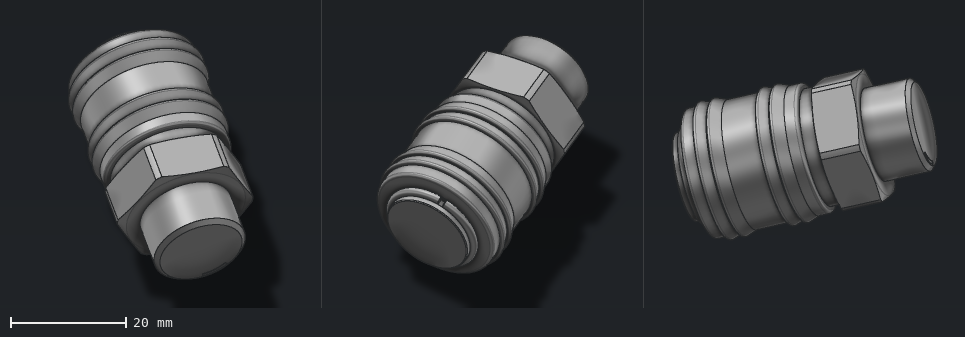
import cadquery as cq
import math

TOTAL_LENGTH = 43.6

FLANGE_DIAMETER = 15.95
FLANGE_CHAMFER = 0.17
GROOVE_START = 1.15
GROOVE_DIAMETER = 14.95
SHOULDER_DIAMETER = 16.1
NECK_DIAMETER = 21.0
HEX_START = 26.55
HEX_LENGTH = 8.02
HEX_ACROSS_FLATS = 22.05
HEX_CORNER_DIAMETER = 24.8
HEX_TURN = 22.7
HEX_CHAMFER_LENGTH = 0.4
HEX_CHAMFER_DEPTH = 1.55
THREAD_DIAMETER = 16.65
THREAD_CHAMFER_LENGTH = 0.75
THREAD_END_DIAMETER = 14.95

RAISED_ARC_HEIGHT = 0.11
RAISED_ARC_INNER_DIAMETER = 13.2
RAISED_ARC_OUTER_DIAMETER = 14.45
RAISED_ARC_START = 2.5
RAISED_ARC_SPAN = 39.5

WIRE_DIAMETER = 1.53
RING_GAP_CENTRE = 13.9
RING_GAP = 7.0

SLEEVE_LENGTH = 21.45
SLEEVE_DIAMETER = 23.3
SLEEVE_FILLET = 0.55
SLEEVE_BORE_DIAMETER = 16.65
SLEEVE_LIP = 2.2
RIB_DIAMETER = 24.8
RIB_NOSE_RADIUS = 0.45
RIB_TAPER = 20.0
RIB_PITCH = 2.5
RIB_PAIR_STARTS = (5.15, 16.55)
RIB_VALLEY = 0.25
VALLEY_DIAMETER = 23.5

sleeve_start = GROOVE_START + WIRE_DIAMETER
sleeve_end = sleeve_start + SLEEVE_LENGTH
lip_end = sleeve_start + SLEEVE_LIP
hex_end = HEX_START + HEX_LENGTH
rear_face = TOTAL_LENGTH - RAISED_ARC_HEIGHT


def revolve_about_x(profile, angle=360):
    """Turn a closed (x, radius) profile about the X axis."""
    return profile.revolve(angle, (0, 0, 0), (1, 0, 0))


def cylinder(start, end, diameter):
    return cq.Workplane("YZ", origin=(start, 0, 0)).circle(diameter / 2).extrude(end - start)


def make_hexagon():
    """Hexagon with its corners turned down and both ends chamfered by a cone."""
    prism = (
        cq.Workplane("YZ", origin=(HEX_START, 0, 0))
        .polygon(6, HEX_ACROSS_FLATS, circumscribed=True)
        .extrude(HEX_LENGTH)
        .rotate((0, 0, 0), (1, 0, 0), HEX_TURN)
    )
    corner_radius = HEX_CORNER_DIAMETER / 2
    end_radius = corner_radius - HEX_CHAMFER_DEPTH
    turned_blank = revolve_about_x(
        cq.Workplane("XY").polyline([
            (HEX_START, 0),
            (HEX_START, end_radius),
            (HEX_START + HEX_CHAMFER_LENGTH, corner_radius),
            (hex_end - HEX_CHAMFER_LENGTH, corner_radius),
            (hex_end, end_radius),
            (hex_end, 0),
        ]).close()
    )
    return prism.intersect(turned_blank)


def make_raised_arc():
    """Low curved pad standing on the rear end face."""
    inner_radius = RAISED_ARC_INNER_DIAMETER / 2
    outer_radius = RAISED_ARC_OUTER_DIAMETER / 2
    section = cq.Workplane("XY").polyline([
        (rear_face, inner_radius),
        (TOTAL_LENGTH, inner_radius),
        (TOTAL_LENGTH, outer_radius),
        (rear_face, outer_radius),
    ]).close()
    pad = revolve_about_x(section, RAISED_ARC_SPAN)
    return pad.rotate((0, 0, 0), (1, 0, 0), RAISED_ARC_START - 90)


def make_threaded_end():
    """Plain cylinder in place of the thread, with a conical lead-in at the rear."""
    thread_radius = THREAD_DIAMETER / 2
    return revolve_about_x(
        cq.Workplane("XY").polyline([
            (hex_end, 0),
            (hex_end, thread_radius),
            (rear_face - THREAD_CHAMFER_LENGTH, thread_radius),
            (rear_face, THREAD_END_DIAMETER / 2),
            (rear_face, 0),
        ]).close()
    )


def make_nipple():
    flange = cylinder(0, GROOVE_START, FLANGE_DIAMETER).faces("<X").chamfer(FLANGE_CHAMFER)
    groove = cylinder(GROOVE_START, sleeve_start, GROOVE_DIAMETER)
    shoulder = cylinder(sleeve_start, lip_end, SHOULDER_DIAMETER)
    neck = cylinder(lip_end, HEX_START, NECK_DIAMETER)
    thread = make_threaded_end()
    nipple = flange
    for section in (groove, shoulder, neck, make_hexagon(), thread, make_raised_arc()):
        nipple = nipple.union(section)
    return nipple


def make_ring():
    """Open wire ring lying on the groove bottom."""
    centre_radius = (GROOVE_DIAMETER + WIRE_DIAMETER) / 2
    wire_x = GROOVE_START + WIRE_DIAMETER / 2
    ring = (
        cq.Workplane("XY", origin=(wire_x, centre_radius, 0))
        .circle(WIRE_DIAMETER / 2)
        .revolve(360 - RING_GAP, (0, -centre_radius, 0), (1, -centre_radius, 0))
    )
    return ring.rotate((0, 0, 0), (1, 0, 0), 90 + RING_GAP_CENTRE + RING_GAP / 2)


def make_rib(start):
    """Saw-tooth rib: upright front, rounded nose and a taper down to the sleeve surface."""
    taper = math.radians(RIB_TAPER)
    sleeve_radius = SLEEVE_DIAMETER / 2
    root_radius = NECK_DIAMETER / 2
    nose_x = start + RIB_NOSE_RADIUS
    nose_height = RIB_DIAMETER / 2 - RIB_NOSE_RADIUS
    taper_start_x = nose_x + RIB_NOSE_RADIUS * math.sin(taper)
    taper_start_height = nose_height + RIB_NOSE_RADIUS * math.cos(taper)
    taper_end_x = taper_start_x + (taper_start_height - sleeve_radius) / math.tan(taper)
    profile = (
        cq.Workplane("XY")
        .moveTo(start, root_radius)
        .lineTo(start, nose_height)
        .threePointArc(
            (nose_x, nose_height + RIB_NOSE_RADIUS),
            (taper_start_x, taper_start_height),
        )
        .lineTo(taper_end_x, sleeve_radius)
        .lineTo(taper_end_x, root_radius)
        .close()
    )
    return revolve_about_x(profile)


def make_sleeve():
    sleeve = cylinder(sleeve_start, sleeve_end, SLEEVE_DIAMETER).edges().fillet(SLEEVE_FILLET)
    for pair_start in RIB_PAIR_STARTS:
        second_start = pair_start + RIB_PITCH
        valley = cylinder(second_start - RIB_VALLEY, second_start, VALLEY_DIAMETER)
        sleeve = sleeve.union(make_rib(pair_start)).union(valley).union(make_rib(second_start))
    front_bore = cylinder(sleeve_start, lip_end, SLEEVE_BORE_DIAMETER)
    neck_bore = cylinder(lip_end, sleeve_end, NECK_DIAMETER)
    return sleeve.cut(front_bore).cut(neck_bore)


nipple = make_nipple().solids()
ring = make_ring().solids()
sleeve = make_sleeve().solids()

result = cq.Compound.makeCompound([nipple.val(), ring.val(), sleeve.val()])